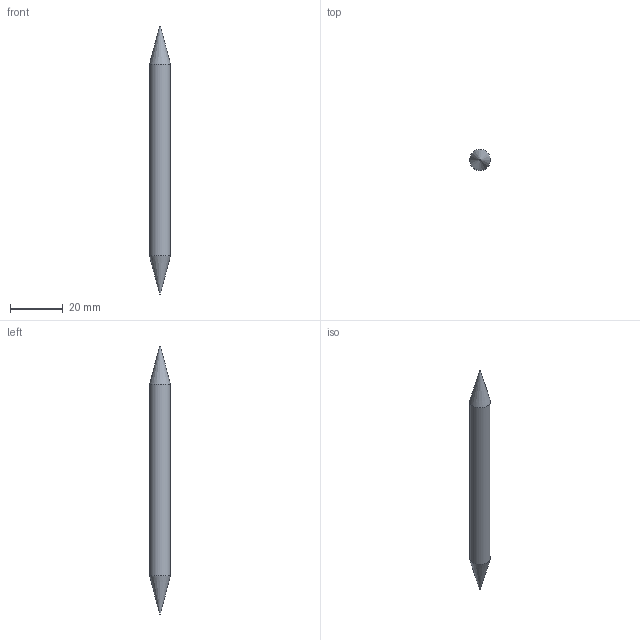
import cadquery as cq
import math

rod_diameter = 7.9375
overall_length = 101.6
point_angle = 30.0
tip_diameter = 0.2

rod_radius = rod_diameter / 2
tip_radius = tip_diameter / 2
half_length = overall_length / 2
point_length = (rod_radius - tip_radius) / math.tan(math.radians(point_angle / 2))
shoulder_height = half_length - point_length


def pointed_rod():
    """Revolve the half profile, from tip to tip, about the Z axis."""
    half_profile = (
        cq.Workplane("XZ")
        .moveTo(0, -half_length)
        .lineTo(-tip_radius, -half_length)
        .lineTo(-rod_radius, -shoulder_height)
        .lineTo(-rod_radius, shoulder_height)
        .lineTo(-tip_radius, half_length)
        .lineTo(0, half_length)
        .close()
    )
    return half_profile.revolve(360, (0, 0, 0), (0, 1, 0))


result = pointed_rod()